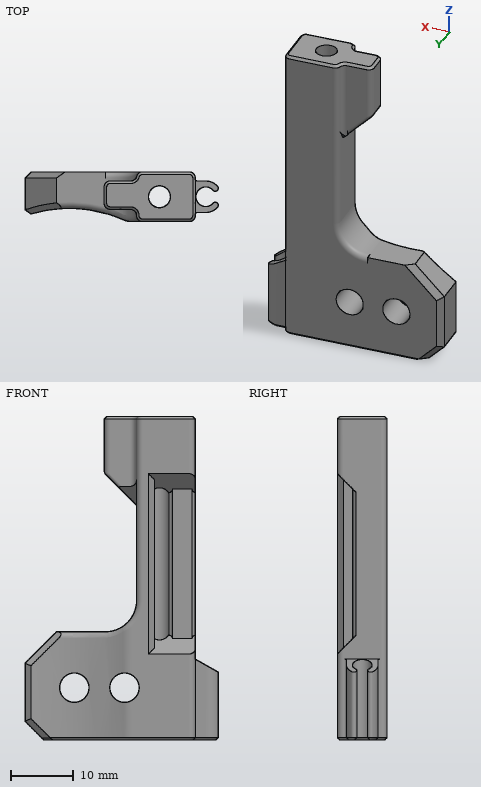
import cadquery as cq
import math

height = 52.0
thickness = 8.0
mid_y = thickness / 2

margin = 0.5

column_left = 17.9
column_right = 27.35
edge_radius = 1.0
end_chamfer = 0.4
bore_diameter = 3.5
bore_x = 21.55

paddle_top = 17.4
upper_corner = 5.05
lower_corner = 3.0
edge_chamfer = 1.0
inner_radius = 5.0
inner_start = column_left - inner_radius
paddle_hole_diameter = 4.7
paddle_hole_z = 8.4
paddle_hole_xs = (7.9, 15.95)

hollow_end = 16.4
hollow_x = 7.1
hollow_depth = 2.15
hollow_half = hollow_end - hollow_x
hollow_radius = (hollow_half**2 + hollow_depth**2) / (2 * hollow_depth)
hollow_blend_radius = 3.0

nose_left = 12.7
nose_front = 2.0
nose_back = 6.55
nose_tip_z = 42.9
nose_front_foot_z = 40.75
nose_back_foot_y = 6.1
nose_back_rise_z = 40.4
nose_under_radius = 0.5

pocket_left = 19.8
pocket_bottom = 13.85
pocket_top = 42.8
pocket_depth = 2.5
pocket_left_bevel = 1.0
rib_left = 23.15
rib_edge_radius = 0.5

clip_right = 31.05
clip_inner_radius = 1.55
clip_outer_radius = 2.55
clip_mouth_angle = 41.5
clip_top_right = 10.9
clip_top_left = 13.0
clip_neck_radius = 0.25
clip_middle_radius = (clip_inner_radius + clip_outer_radius) / 2
clip_lip_radius = (clip_outer_radius - clip_inner_radius) / 2
clip_x = clip_right - clip_lip_radius - clip_middle_radius * math.cos(math.radians(clip_mouth_angle))


def upright_cylinder(x, y, radius):
    """Full-height cylinder along Z."""
    return cq.Workplane("XY").center(x, y).circle(radius).extrude(height)


def side_prism(points, y0=0, y1=thickness):
    """Prism along Y from an outline of (x, z) points."""
    return cq.Workplane("XZ").polyline(points).close().extrude(y0 - y1).translate((0, y0, 0))


def end_prism(points):
    """Prism along X, over the whole length of the part, from an outline of (y, z) points."""
    return cq.Workplane("YZ").polyline(points).close().extrude(clip_right)


def edge_near(x, y, z):
    """Selector for the edge closest to a point."""
    return cq.selectors.NearestToPointSelector((x, y, z))


def make_column():
    """Column whose left side sweeps into the paddle; its right and back left edges are rounded."""
    column = (
        cq.Workplane("XZ")
        .moveTo(inner_start, 0)
        .lineTo(inner_start, paddle_top)
        .radiusArc((column_left, paddle_top + inner_radius), -inner_radius)
        .lineTo(column_left, height)
        .lineTo(column_right, height)
        .lineTo(column_right, 0)
        .close()
        .extrude(-thickness)
    )
    column = column.edges("|Z and >X").fillet(edge_radius)
    return column.edges(edge_near(column_left, thickness, height / 2 + inner_radius)).fillet(edge_radius)


def make_paddle():
    """Flat paddle with two cut corners, its outer back edges chamfered."""
    paddle = side_prism(
        [
            (inner_start, 0),
            (lower_corner, 0),
            (0, lower_corner),
            (0, paddle_top - upper_corner),
            (upper_corner, paddle_top),
            (inner_start, paddle_top),
        ]
    )
    outer_back_edges = cq.selectors.BoxSelector(
        (-margin, thickness - margin, margin), (upper_corner, thickness + margin, paddle_top - margin)
    )
    return paddle.edges(outer_back_edges).chamfer(edge_chamfer)


def make_nose():
    """Rounded nose flowing into the column corners, sloped underneath to the left, front and back."""
    flare_reach = 2 * edge_radius
    corner_x = column_left + edge_radius
    front_corner_y = edge_radius
    back_corner_y = thickness - edge_radius

    def flare(side_y, corner_y, outward):
        """Start and end of the arc that is tangent to a nose side and to a rounded column corner."""
        center_y = side_y + outward * edge_radius
        center_x = corner_x - math.sqrt(flare_reach**2 - (center_y - corner_y) ** 2)
        return (center_x, side_y), ((center_x + corner_x) / 2, (center_y + corner_y) / 2)

    front_start, front_end = flare(nose_front, front_corner_y, -1)
    back_start, back_end = flare(nose_back, back_corner_y, 1)
    slope_foot_z = nose_tip_z - (column_left - nose_left)
    root_x = bore_x - bore_diameter / 2

    side_outline = [
        (nose_left, height),
        (nose_left, nose_tip_z),
        (column_left, slope_foot_z),
        (root_x, slope_foot_z),
        (root_x, height),
    ]
    left_edges = cq.selectors.BoxSelector(
        (nose_left - margin, 0, nose_tip_z - margin), (nose_left + margin, thickness, height - margin)
    )
    under_edges = cq.selectors.ParallelDirSelector(cq.Vector(1, 0, -1))
    nose = (
        side_prism(side_outline, nose_front, nose_back)
        .edges(left_edges)
        .fillet(edge_radius)
        .edges(under_edges)
        .fillet(nose_under_radius)
    )
    flares = (
        cq.Workplane("XY")
        .moveTo(*front_start)
        .radiusArc(front_end, edge_radius)
        .lineTo(root_x, front_end[1])
        .lineTo(root_x, back_end[1])
        .lineTo(*back_end)
        .radiusArc(back_start, edge_radius)
        .close()
        .extrude(height)
        .intersect(side_prism(side_outline))
    )
    front_foot_y = nose_front + nose_front_foot_z - slope_foot_z
    end_outline = [
        (0, height),
        (0, nose_front_foot_z + nose_front),
        (front_foot_y, slope_foot_z),
        (nose_back_foot_y, slope_foot_z),
        (thickness, nose_back_rise_z),
        (thickness, height),
    ]
    return nose.union(flares).intersect(end_prism(end_outline))


def clip_point(radius, angle):
    """Point at a radius and an angle in degrees around the clip axis."""
    turn = math.radians(angle)
    return clip_x + radius * math.cos(turn), mid_y + radius * math.sin(turn)


def make_clip():
    """C-shaped spring clip with round lips, its top sloping down to the right."""
    lip_reach = math.hypot(clip_middle_radius, clip_lip_radius)
    lip_angle = clip_mouth_angle - math.degrees(math.atan2(clip_lip_radius, clip_middle_radius))
    bow_angle = (90 + clip_mouth_angle) / 2
    root_x = column_right - edge_radius

    def point_pair(radius, angle):
        """Matching points on the front and back halves of the clip."""
        return clip_point(radius, -angle), clip_point(radius, angle)

    front_side, back_side = point_pair(clip_outer_radius, 90)
    front_bow, back_bow = point_pair(clip_outer_radius, bow_angle)
    front_outer, back_outer = point_pair(clip_outer_radius, clip_mouth_angle)
    front_lip, back_lip = point_pair(lip_reach, lip_angle)
    front_inner, back_inner = point_pair(clip_inner_radius, clip_mouth_angle)
    clip = (
        cq.Workplane("XY")
        .moveTo(root_x, mid_y - clip_outer_radius)
        .lineTo(*front_side)
        .threePointArc(front_bow, front_outer)
        .threePointArc(front_lip, front_inner)
        .threePointArc(clip_point(clip_inner_radius, 180), back_inner)
        .threePointArc(back_lip, back_outer)
        .threePointArc(back_bow, back_side)
        .lineTo(root_x, mid_y + clip_outer_radius)
        .close()
        .extrude(height)
    )
    slope = (clip_top_left - clip_top_right) / (clip_right - column_right)
    overhang = clip_lip_radius
    side_outline = [
        (root_x, 0),
        (root_x, clip_top_left + slope * edge_radius),
        (clip_right + overhang, clip_top_right - slope * overhang),
        (clip_right + overhang, 0),
    ]
    return clip.intersect(side_prism(side_outline))


def make_pocket():
    """Pocket with sloped ends and a beveled left wall, leaving a round-edged rib right of the bore."""
    end_outline = [
        (0, pocket_bottom),
        (mid_y, pocket_bottom + mid_y),
        (mid_y, pocket_top - mid_y),
        (0, pocket_top),
    ]
    wall_x = pocket_left + pocket_left_bevel
    plan = (
        cq.Workplane("XY")
        .moveTo(pocket_left, 0)
        .lineTo(wall_x, pocket_left_bevel)
        .lineTo(wall_x, mid_y)
        .lineTo(rib_left, mid_y)
        .lineTo(rib_left, pocket_depth + rib_edge_radius)
        .radiusArc((rib_left + rib_edge_radius, pocket_depth), rib_edge_radius)
        .lineTo(column_right - rib_edge_radius, pocket_depth)
        .radiusArc((column_right, pocket_depth + rib_edge_radius), rib_edge_radius)
        .lineTo(clip_right, pocket_depth + rib_edge_radius)
        .lineTo(clip_right, 0)
        .close()
        .extrude(height)
    )
    return plan.intersect(end_prism(end_outline))


def hollow_paddle_front(body):
    """Scoop the concave front out of the paddle and bevel its outer front edges."""
    hollow = upright_cylinder(hollow_x, hollow_depth - hollow_radius, hollow_radius)
    zone_top = paddle_top + inner_radius
    zone = side_prism([(0, 0), (0, zone_top), (hollow_end, zone_top), (hollow_end, 0)])
    body = body.cut(hollow.intersect(zone))
    outer_front_edges = cq.selectors.BoxSelector(
        (-margin, 0, margin), (upper_corner, hollow_depth + margin, paddle_top - margin)
    )
    return body.edges(outer_front_edges).chamfer(edge_chamfer)


def add_clip(body):
    """Join the clip to the column with a small rounding in the two inner corners."""
    neck_zone = cq.selectors.BoxSelector(
        (column_right - clip_neck_radius, edge_radius, margin),
        (column_right + clip_neck_radius, thickness - edge_radius, clip_top_left),
    )
    return body.union(make_clip()).edges("|Z").edges(neck_zone).fillet(clip_neck_radius)


body = hollow_paddle_front(make_column().union(make_paddle()))
body = body.edges(edge_near(hollow_end, 0, paddle_hole_z)).fillet(hollow_blend_radius)
body = body.edges(edge_near(column_left, 0, height / 2 + inner_radius)).fillet(edge_radius)

body = body.union(make_nose())
body = body.faces(">Z").edges().chamfer(end_chamfer)
body = add_clip(body)
body = body.faces("<Z").edges("not <X").chamfer(end_chamfer)

body = body.cut(make_pocket())
body = body.cut(upright_cylinder(bore_x, mid_y, bore_diameter / 2))
hole_centers = [(hole_x, paddle_hole_z) for hole_x in paddle_hole_xs]
holes = cq.Workplane("XZ").pushPoints(hole_centers).circle(paddle_hole_diameter / 2).extrude(-thickness)

result = body.cut(holes)